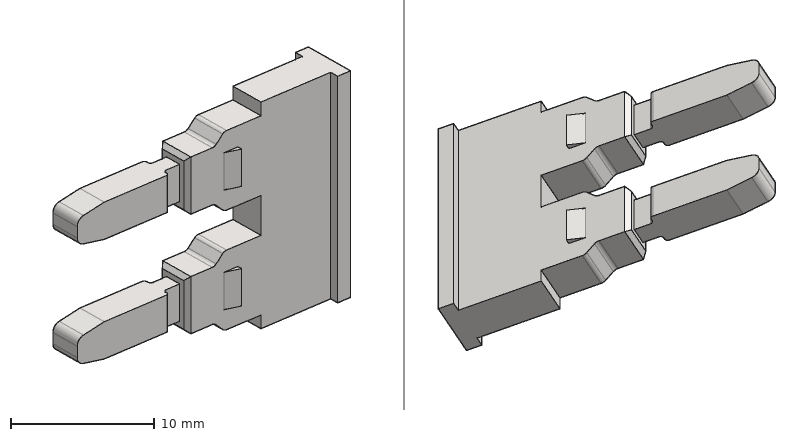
import cadquery as cq
import math


height = 18.2
body_width = 3.0
body_end = 7.65
flange_width = 4.5
flange_depth = 1.2

contact_pitch = 9.6
contact_heights = [-contact_pitch / 2, contact_pitch / 2]

root_height = 6.4
nose_height = 4.6
nose_end = 14.5
nose_chamfer = 0.35
slope_start = 11.05
slope_run = (root_height - nose_height) / 2
slope_end = slope_start + slope_run
slope_fillet = 0.5

latch_start = 9.8
latch_end = 11.1
latch_reach = 0.4
latch_height = 3.0

blade_height = 3.0
blade_width = 2.6
blade_end = 24.5
neck_width = 1.4
neck_end = 16.0
neck_fillet = 0.25
taper_start = 22.0
taper_angle = 10.5
taper_drop = (blade_end - taper_start) * math.tan(math.radians(taper_angle))
tip_height = blade_height - 2 * taper_drop
tip_fillet = 0.7

overlap = 1.0


def block(width, start, end, tall):
    """Box centred on X and Z, between two depths."""
    middle = -(start + end) / 2
    return cq.Workplane("XY").box(width, end - start, tall).translate((0, middle, 0))


def make_body():
    plate = block(body_width, 0, body_end, height)
    flange = block(flange_width, 0, flange_depth, height)
    return plate.union(flange)


def make_sleeve():
    root = root_height / 2
    nose = nose_height / 2
    profile = [
        (-(body_end - overlap), root),
        (-slope_start, root),
        (-slope_end, nose),
        (-nose_end, nose),
        (-nose_end, -nose),
        (-slope_end, -nose),
        (-slope_start, -root),
        (-(body_end - overlap), -root),
    ]
    sleeve = cq.Workplane("YZ").polyline(profile).close().extrude(body_width / 2, both=True)
    slope_corners = cq.selectors.BoxSelector(
        (-body_width, -slope_end - overlap / 2, -root_height),
        (body_width, -slope_start + overlap / 2, root_height),
    )
    sleeve = sleeve.edges("|X").edges(slope_corners).fillet(slope_fillet)
    return sleeve.faces("<Y").chamfer(nose_chamfer)


def make_latches():
    """Both latches as one trapezoid that passes through the sleeve."""
    narrow = body_width / 2
    wide = narrow + latch_reach
    profile = [
        (-wide, -latch_start),
        (wide, -latch_start),
        (narrow, -latch_end),
        (-narrow, -latch_end),
    ]
    return cq.Workplane("XY").polyline(profile).close().extrude(latch_height / 2, both=True)


def make_blade():
    blade = block(blade_width, neck_end, blade_end, blade_height)
    blade = blade.edges("|Z and >Y").fillet(neck_fillet)
    neck = block(neck_width, nose_end - overlap, neck_end + overlap, blade_height)
    blade = blade.union(neck)
    corner_reach = neck_fillet / 4
    inner_corners = cq.selectors.BoxSelector(
        (-neck_width / 2 - corner_reach, -neck_end - corner_reach, -blade_height),
        (neck_width / 2 + corner_reach, -neck_end + corner_reach, blade_height),
    )
    blade = blade.edges("|Z").edges(inner_corners).fillet(neck_fillet)

    side_profile = [
        (-(nose_end - overlap), blade_height / 2),
        (-taper_start, blade_height / 2),
        (-blade_end, tip_height / 2),
        (-blade_end, -tip_height / 2),
        (-taper_start, -blade_height / 2),
        (-(nose_end - overlap), -blade_height / 2),
    ]
    envelope = cq.Workplane("YZ").polyline(side_profile).close().extrude(blade_width / 2, both=True)
    envelope = envelope.faces("<Y").edges("|X").fillet(tip_fillet)
    return blade.intersect(envelope)


contact = make_sleeve().union(make_latches()).union(make_blade())

result = make_body()
for contact_z in contact_heights:
    result = result.union(contact.translate((0, 0, contact_z)))